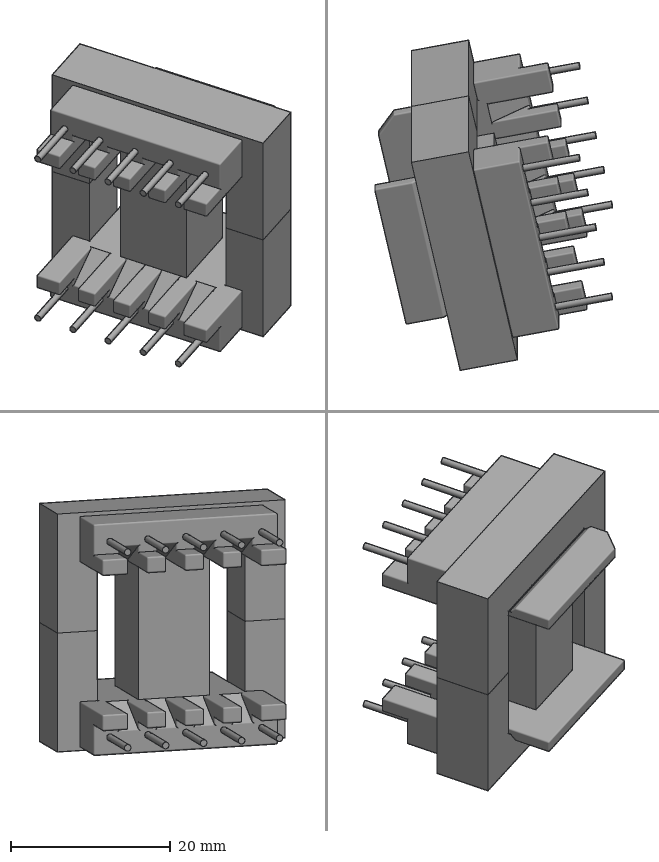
import cadquery as cq


CORE_WIDTH = 30.0
CORE_HEIGHT = 30.4
CORE_DEPTH = 7.33
WINDOW_WIDTH = 19.45
WINDOW_HEIGHT = 19.4
LEG_WIDTH = 7.2

TUBE_WIDTH = 9.4
TUBE_DEPTH = 9.55
FLANGE_GAP = 17.8

BLOCK_WIDTH = 24.2
BLOCK_TOP = 14.75
BLOCK_FRONT = -9.6
TOE_TOP = 10.9
TOE_FRONT = -13.2

SLOT_COUNT = 4
SLOT_WIDTH = 2.55
SLOT_TOP = 11.75
PIN_COUNT = SLOT_COUNT + 1
PIN_ROW_LENGTH = 20.0
PITCH = PIN_ROW_LENGTH / (PIN_COUNT - 1)
PIN_DIAMETER = 0.85
PIN_HEIGHT = 12.5
PIN_TIP = -16.8

LIP_BACK = 9.5
LIP_TOP = 10.45
WEB_OVERHANG = 0.12
LIP_SLOPE_LENGTH = 0.88
CORNER_CUT = 2.5

EDGE_RADIUS = 0.2
SELECTION_MARGIN = 0.015

core_front = -CORE_DEPTH / 2
core_back = CORE_DEPTH / 2
web_back = core_back + WEB_OVERHANG
window_top = WINDOW_HEIGHT / 2
flange_bottom = FLANGE_GAP / 2
tube_front = -TUBE_DEPTH / 2


def centred_row(count):
    """X positions of a row of features spaced by PITCH about X = 0."""
    return [(i - (count - 1) / 2) * PITCH for i in range(count)]


def mirrored_below(body):
    return body.mirror("XY")


def box_between(width, depth, z_bottom, z_top):
    """Box centred on X = 0 and Y = 0 between two heights."""
    return cq.Workplane("XY", origin=(0, 0, z_bottom)).rect(width, depth).extrude(z_top - z_bottom)


def extrude_along_x(outline, width, x_centre=0):
    """Prism along X from an outline of (Y, Z) points."""
    return cq.Workplane("YZ", origin=(x_centre, 0, 0)).polyline(outline).close().extrude(width / 2, both=True)




def make_core_half():
    """Upper E: a block with a window on either side of the centre leg."""
    half = box_between(CORE_WIDTH, CORE_DEPTH, 0, CORE_HEIGHT / 2)
    window = box_between(WINDOW_WIDTH, CORE_DEPTH, 0, window_top)
    leg = box_between(LEG_WIDTH, CORE_DEPTH, 0, window_top)
    return half.cut(window).union(leg)




def make_pin_block():
    """Block in front of the core; its lower part extends forward to form the toes."""
    outline = [
        (core_front, flange_bottom),
        (core_front, BLOCK_TOP),
        (BLOCK_FRONT, BLOCK_TOP),
        (BLOCK_FRONT, TOE_TOP),
        (TOE_FRONT, TOE_TOP),
        (TOE_FRONT, flange_bottom),
    ]
    return extrude_along_x(outline, BLOCK_WIDTH)


def make_web_and_lip():
    """Web through the core window that thickens just behind the core into the lip."""
    outline = [
        (core_front, flange_bottom),
        (core_front, window_top),
        (web_back, window_top),
        (web_back + LIP_SLOPE_LENGTH, LIP_TOP),
        (LIP_BACK, LIP_TOP),
        (LIP_BACK, flange_bottom),
    ]
    return extrude_along_x(outline, WINDOW_WIDTH)


def make_wire_slot(x_centre):
    """Cutter for the gap between two toes, with a roof that slopes back down to the tube."""
    outline = [
        (tube_front, flange_bottom),
        (BLOCK_FRONT, SLOT_TOP),
        (TOE_FRONT, SLOT_TOP),
        (TOE_FRONT, flange_bottom),
    ]
    return extrude_along_x(outline, SLOT_WIDTH, x_centre)


def make_corner_cut():
    """Cutter for the bevel across the -X rear corner of a flange."""
    x_side = -WINDOW_WIDTH / 2
    triangle = [
        (x_side, LIP_BACK),
        (x_side + CORNER_CUT, LIP_BACK),
        (x_side, LIP_BACK - CORNER_CUT),
    ]
    return (
        cq.Workplane("XY", origin=(0, 0, flange_bottom))
        .polyline(triangle)
        .close()
        .extrude(LIP_TOP - flange_bottom)
    )


def edges_centred_in(width, y_range, z_range):
    """Selector for edges whose centres lie within a width about X = 0 and the Y and Z ranges."""
    x_reach = width / 2 + SELECTION_MARGIN
    return cq.selectors.BoxSelector(
        (-x_reach, y_range[0] - SELECTION_MARGIN, z_range[0] - SELECTION_MARGIN),
        (x_reach, y_range[1] + SELECTION_MARGIN, z_range[1] + SELECTION_MARGIN),
    )


def round_outer_edges(flange):
    """Round all edges except inside corners and the side and top edges of the web."""
    toe_roots = edges_centred_in(BLOCK_WIDTH, (BLOCK_FRONT, BLOCK_FRONT), (TOE_TOP, TOE_TOP))
    slot_ends = edges_centred_in(BLOCK_WIDTH, (tube_front, tube_front), (flange_bottom, flange_bottom))
    roof_y = (BLOCK_FRONT + tube_front) / 2
    roof_z = (SLOT_TOP + flange_bottom) / 2
    slot_roof_sides = edges_centred_in(BLOCK_WIDTH, (roof_y, roof_y), (roof_z, roof_z))
    web_middle = (flange_bottom + window_top) / 2
    web_edges = edges_centred_in(WINDOW_WIDTH, (core_front, web_back), (web_middle, window_top))
    sharp_edges = toe_roots + slot_ends + slot_roof_sides + web_edges
    return flange.edges(-sharp_edges).fillet(EDGE_RADIUS)


def make_flange(has_corner_cut):
    flange = make_pin_block().union(make_web_and_lip())
    for x in centred_row(SLOT_COUNT):
        flange = flange.cut(make_wire_slot(x))
    if has_corner_cut:
        flange = flange.cut(make_corner_cut())
    return round_outer_edges(flange)


def make_pin_row():
    """Row of pins that stand forward from the front face of the upper pin block."""
    return (
        cq.Workplane("XZ", origin=(0, BLOCK_FRONT, PIN_HEIGHT))
        .pushPoints([(x, 0) for x in centred_row(PIN_COUNT)])
        .circle(PIN_DIAMETER / 2)
        .extrude(BLOCK_FRONT - PIN_TIP)
    )


def make_bobbin():
    tube = box_between(TUBE_WIDTH, TUBE_DEPTH, -flange_bottom, flange_bottom)
    upper_flange = make_flange(has_corner_cut=True)
    lower_flange = mirrored_below(make_flange(has_corner_cut=False))
    upper_pins = make_pin_row()
    lower_pins = mirrored_below(upper_pins)
    leg_bore = box_between(LEG_WIDTH, CORE_DEPTH, -window_top, window_top)
    return (
        tube.union(upper_flange)
        .union(lower_flange)
        .union(upper_pins)
        .union(lower_pins)
        .cut(leg_bore)
    )


upper_core_half = make_core_half()
lower_core_half = mirrored_below(upper_core_half)
bobbin = make_bobbin()

result = cq.Compound.makeCompound(
    [
        upper_core_half.solids().val(),
        lower_core_half.solids().val(),
        bobbin.solids().val(),
    ]
)